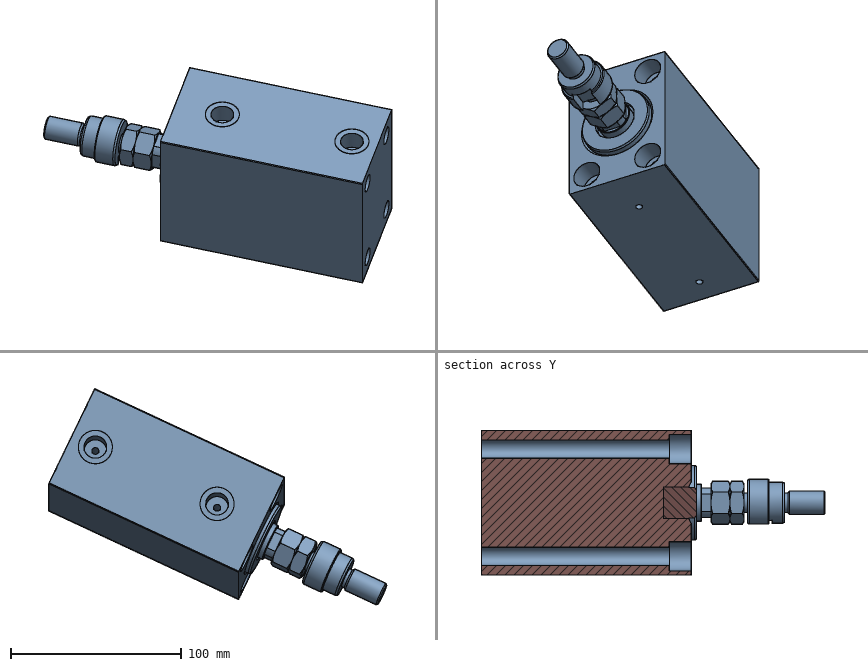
import cadquery as cq
import math


overall_length = 202.0
block_front = 78.5
block_length = overall_length - block_front
block_width = 63.0
block_height = 85.0
edge_chamfer = 0.5

bolt_spacing_y = 40.0
bolt_spacing_z = 63.0
bolt_hole_diameter = 10.5
bolt_head_diameter = 17.0
bolt_head_depth = 13.0

front_port_x = block_front + 28.9
port_spacing = 79.2
port_spotface_diameter = 20.0
port_spotface_depth = 0.2
port_thread_diameter = 13.3
port_thread_depth = 12.1
port_drill_diameter = 4.0

gland_diameter = 44.0
gland_projection = 3.0
gland_insertion = 16.2
gland_chamfer_length = 1.2
gland_chamfer_depth = 0.6
gland_seat_chamfer = 1.5
wiper_recess_diameter = 25.5
wiper_recess_depth = 3.0

rod_diameter = 22.0
rod_shoulder = 72.5
rod_chamfer = 0.5
rod_insertion = 50.5
rod_neck_diameter = 20.5
rod_flats_width = 17.5

thread_diameter = 14.0
undercut_diameter = 11.7
tip_chamfer = 0.8
thread_runout_start = 20.8

collar_front = 23.8
collar_diameter = 24.2
ring_front = 33.0
ring_back = 45.7
ring_diameter = 27.9
turned_chamfer_length = 1.2
turned_chamfer_depth = 0.6
ring_front_chamfer = 0.6

slot_start = 31.1
slot_width = 12.0

hex_flats_width = 22.0
hex_chamfer_angle = 30.0
hex_front = 47.7
hex_length = 8.3
nut_length = 11.1
stud_engagement = 10.0

gland_front = block_front - gland_projection
gland_back = block_front + gland_insertion
rod_back = block_front + rod_insertion
nut_front = hex_front + hex_length
rod_front = nut_front + nut_length
stud_end = rod_front + stud_engagement


def cylinder(diameter, start, end):
    """Cylinder on the rod axis between two X positions."""
    return cq.Workplane("YZ", origin=(start, 0, 0)).circle(diameter / 2).extrude(end - start)


def turned(profile):
    """Solid of revolution about the rod axis from (x, radius) points."""
    return cq.Workplane("XY").polyline(profile).close().revolve(360, (0, 0, 0), (1, 0, 0))


def hexagon(start, length):
    """Hexagonal prism with two corners up and down, its corners turned down at both ends."""
    flat_radius = hex_flats_width / 2
    corner_radius = flat_radius / math.cos(math.radians(30))
    chamfer_length = (corner_radius - flat_radius) * math.tan(math.radians(hex_chamfer_angle))
    end = start + length
    prism = (
        cq.Workplane("YZ", origin=(start, 0, 0))
        .polygon(6, 2 * corner_radius)
        .extrude(length)
        .rotate((0, 0, 0), (1, 0, 0), 30)
    )
    envelope = turned([
        (start, 0),
        (start, flat_radius),
        (start + chamfer_length, corner_radius),
        (end - chamfer_length, corner_radius),
        (end, flat_radius),
        (end, 0),
    ])
    return prism.intersect(envelope)


def cut_bolt_holes(block):
    """Four through holes with counterbores in the front face."""
    for y in (-bolt_spacing_y / 2, bolt_spacing_y / 2):
        for z in (-bolt_spacing_z / 2, bolt_spacing_z / 2):
            hole = cylinder(bolt_hole_diameter, block_front, overall_length)
            head = cylinder(bolt_head_diameter, block_front, block_front + bolt_head_depth)
            block = block.cut(hole.union(head).translate((0, y, z)))
    return block


def cut_port(block, x):
    """Oil port in the top face: spotface, thread bore and a small hole right through."""
    top = cq.Workplane("XY", origin=(x, 0, block_height / 2))
    spotface = top.circle(port_spotface_diameter / 2).extrude(-port_spotface_depth)
    thread_bore = top.circle(port_thread_diameter / 2).extrude(-port_thread_depth)
    drilling = top.circle(port_drill_diameter / 2).extrude(-block_height)
    return block.cut(spotface).cut(thread_bore).cut(drilling)


def cut_gland_and_rod_bores(block):
    """Stepped blind bore for the gland and the rod, chamfered at its mouth."""
    gland_radius = gland_diameter / 2
    gland_seat = turned([
        (block_front, 0),
        (block_front, gland_radius + gland_seat_chamfer),
        (block_front + gland_seat_chamfer, gland_radius),
        (gland_back, gland_radius),
        (gland_back, 0),
    ])
    rod_bore = cylinder(rod_diameter, block_front, rod_back)
    return block.cut(gland_seat).cut(rod_bore)


def make_block():
    block = (
        cq.Workplane("XY")
        .box(block_length, block_width, block_height)
        .translate((block_front + block_length / 2, 0, 0))
        .edges("|X")
        .chamfer(edge_chamfer)
    )
    block = cut_bolt_holes(block)
    for x in (front_port_x, front_port_x + port_spacing):
        block = cut_port(block, x)
    return cut_gland_and_rod_bores(block)


def make_gland():
    """Round guide bush that closes the front of the block, recessed around the rod at its face."""
    radius = gland_diameter / 2
    bush = turned([
        (gland_front, 0),
        (gland_front, radius - gland_chamfer_depth),
        (gland_front + gland_chamfer_length, radius),
        (gland_back, radius),
        (gland_back, 0),
    ])
    wiper_recess = cylinder(wiper_recess_diameter, gland_front, gland_front + wiper_recess_depth)
    return bush.cut(wiper_recess).cut(cylinder(rod_diameter, gland_front, gland_back))


def make_rod():
    """Piston rod with a four-flat neck at the front and a bore for the coupling stud."""
    shaft = cylinder(rod_diameter, rod_shoulder, rod_back).faces("<X").chamfer(rod_chamfer)
    flats = (
        cq.Workplane("YZ", origin=(rod_front, 0, 0))
        .rect(rod_flats_width, rod_flats_width)
        .extrude(rod_shoulder - rod_front)
    )
    neck = cylinder(rod_neck_diameter, rod_front, rod_shoulder).intersect(flats)
    return shaft.union(neck).cut(cylinder(thread_diameter, rod_front, stud_end))


def make_lock_nut():
    """Hexagon nut between the coupling and the rod end."""
    return hexagon(nut_front, nut_length).cut(cylinder(thread_diameter, nut_front, rod_front))


def make_coupling():
    """Turned coupling with a threaded tip, slotted ring, wrench hexagon and rear stud."""
    thread_radius = thread_diameter / 2
    undercut_radius = undercut_diameter / 2
    collar_radius = collar_diameter / 2
    ring_radius = ring_diameter / 2
    runout_end = thread_runout_start + thread_radius - undercut_radius
    body = turned([
        (0, 0),
        (0, thread_radius - tip_chamfer),
        (tip_chamfer, thread_radius),
        (thread_runout_start, thread_radius),
        (runout_end, undercut_radius),
        (collar_front, undercut_radius),
        (collar_front, collar_radius - turned_chamfer_depth),
        (collar_front + turned_chamfer_length, collar_radius),
        (ring_front, collar_radius),
        (ring_front, ring_radius - ring_front_chamfer),
        (ring_front + ring_front_chamfer, ring_radius),
        (ring_back - turned_chamfer_length, ring_radius),
        (ring_back, ring_radius - turned_chamfer_depth),
        (ring_back, 0),
    ])
    slot = (
        cq.Workplane("XY", origin=(slot_start, 0, -ring_radius))
        .rect(ring_back - slot_start, slot_width)
        .extrude(ring_radius - undercut_radius)
        .translate(((ring_back - slot_start) / 2, 0, 0))
    )
    rear_neck = cylinder(undercut_diameter, ring_back, hex_front)
    stud = cylinder(thread_diameter, nut_front, stud_end)
    return body.cut(slot).union(rear_neck).union(hexagon(hex_front, hex_length)).union(stud)


block = make_block()
gland = make_gland()
rod = make_rod()
lock_nut = make_lock_nut()
coupling = make_coupling()

result = cq.Compound.makeCompound([
    block.val(),
    gland.val(),
    rod.val(),
    lock_nut.val(),
    coupling.val(),
])